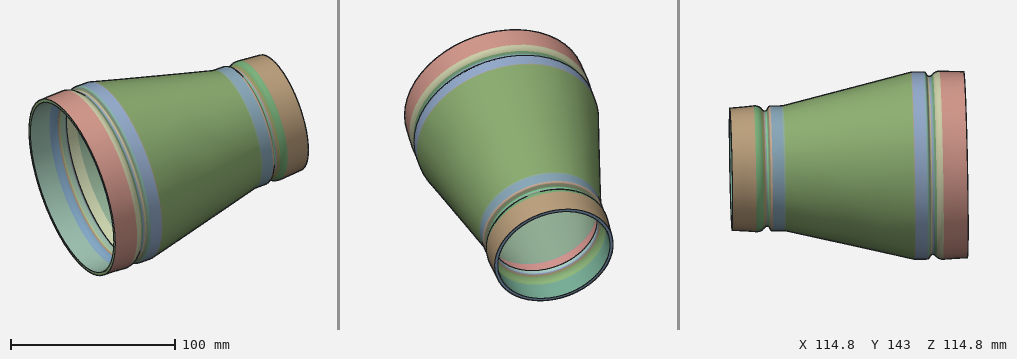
import cadquery as cq
import math

LENGTH = 143.0
WALL = 2.0

LARGE_RADII = {"rim": 56.8, "bulge": 57.5, "groove": 108.8 / 2, "collar": 114.3 / 2}
SMALL_RADII = {"rim": 37.3, "bulge": 38.6, "groove": 70.4 / 2, "collar": 76.2 / 2}

BULGE_CORNER = 17.2
GROOVE_INNER_EDGE = 22.2
COLLAR_END = 32.2

RIM_FLANK_ANGLE = math.radians(45)
COLLAR_FLANK_ANGLE = math.radians(60)

BULGE_ROUND = 5.5
INNER_BULGE_ROUND = 6.5
GROOVE_ROUND = 1.1
COLLAR_ROUND = 1.5
CONE_ROUND = 2.1
SHARP = 0

OUTER_ROUNDINGS = [SHARP, BULGE_ROUND, GROOVE_ROUND, GROOVE_ROUND, COLLAR_ROUND]
INNER_ROUNDINGS = [SHARP, INNER_BULGE_ROUND, GROOVE_ROUND, GROOVE_ROUND, SHARP]


def end_corners(radii):
    """Outer corners of one end, from rim to cone, as vectors (radius, rim distance)."""
    groove, collar = radii["groove"], radii["collar"]
    groove_outer_edge = BULGE_CORNER + (radii["bulge"] - groove) / math.tan(RIM_FLANK_ANGLE)
    collar_start = GROOVE_INNER_EDGE + (collar - groove) / math.tan(COLLAR_FLANK_ANGLE)
    return [
        cq.Vector(radii["rim"], 0),
        cq.Vector(radii["bulge"], BULGE_CORNER),
        cq.Vector(groove, groove_outer_edge),
        cq.Vector(groove, GROOVE_INNER_EDGE),
        cq.Vector(collar, collar_start),
        cq.Vector(collar, COLLAR_END),
    ]


def offset_inward(corners, thickness):
    """Shift a line of corners, running towards +Y, by the wall thickness towards the axis."""
    steps = [(b - a).normalized() for a, b in zip(corners, corners[1:])]
    normals = [cq.Vector(-step.y, step.x) for step in steps]

    first_rim = corners[0] - cq.Vector(thickness / steps[0].y, 0)
    last_rim = corners[-1] - cq.Vector(thickness / steps[-1].y, 0)

    shifted = [first_rim]
    for corner, before, after in zip(corners[1:-1], normals, normals[1:]):
        miter = (before + after).normalized()
        shifted.append(corner + miter * (thickness / miter.dot(before)))
    return shifted + [last_rim]


def revolve_profile(points, roundings):
    """Solid of revolution about Y under a line whose corners are rounded by tangent arcs."""
    profile = cq.Workplane("XY").moveTo(0, points[0].y).lineTo(points[0].x, points[0].y)
    for i in range(1, len(points) - 1):
        corner, rounding = points[i], roundings[i]
        if rounding == SHARP:
            profile = profile.lineTo(corner.x, corner.y)
            continue
        back = (points[i - 1] - corner).normalized()
        ahead = (points[i + 1] - corner).normalized()
        half_angle = back.getAngle(ahead) / 2
        tangent_length = rounding / math.tan(half_angle)
        apex_gap = rounding / math.sin(half_angle) - rounding
        start = corner + back * tangent_length
        apex = corner + (back + ahead).normalized() * apex_gap
        finish = corner + ahead * tangent_length
        profile = profile.lineTo(start.x, start.y)
        profile = profile.threePointArc((apex.x, apex.y), (finish.x, finish.y))
    profile = profile.lineTo(points[-1].x, points[-1].y).lineTo(0, points[-1].y).close()
    return profile.revolve(360, (0, 0), (0, 1))


large_end = end_corners(LARGE_RADII)
small_end = [cq.Vector(corner.x, LENGTH - corner.y) for corner in end_corners(SMALL_RADII)]
outer_corners = large_end + small_end[::-1]
inner_corners = offset_inward(outer_corners, WALL)

outer_bends = [CONE_ROUND, CONE_ROUND + WALL]
inner_bends = [SHARP, CONE_ROUND]
outer_roundings = OUTER_ROUNDINGS + outer_bends + OUTER_ROUNDINGS[::-1]
inner_roundings = INNER_ROUNDINGS + inner_bends + INNER_ROUNDINGS[::-1]

outer_body = revolve_profile(outer_corners, outer_roundings)
bore = revolve_profile(inner_corners, inner_roundings)
result = outer_body.cut(bore)